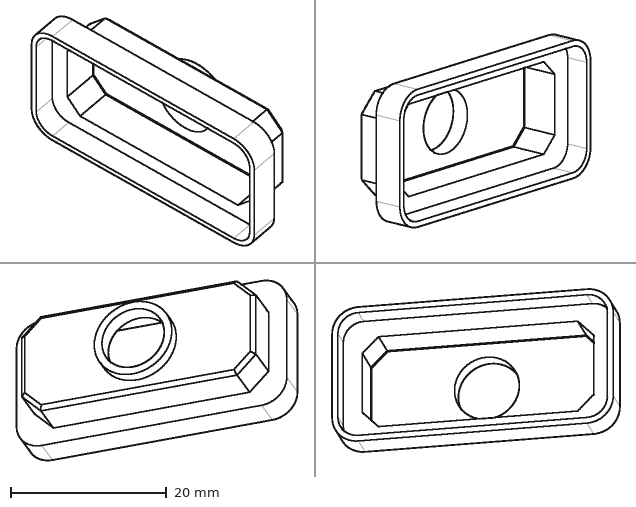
import cadquery as cq
import math

length = 36.93
depth = 10.96
height = 18.41

wall = 0.78

rim_depth = 4.05
rim_radius = 3.45

housing_length = 31.96
housing_height = 13.90
housing_depth = 5.26
housing_corner = 2.58
housing_bevel = 0.56

boss_diameter = 10.6
bore_diameter = 8.5

bevel_loss = wall * (2 - math.sqrt(2))
housing_back = rim_depth + housing_depth


def slab(size_x, size_z, y_start, y_end):
    """Rectangular block centred on the Y axis between two Y positions."""
    return (
        cq.Workplane("XZ", origin=(0, y_start, 0))
        .rect(size_x, size_z)
        .extrude(y_start - y_end)
    )


def rounded_block(inset, y_start, y_end):
    """Rim shape, moved inward by the inset."""
    block = slab(length - 2 * inset, height - 2 * inset, y_start, y_end)
    return block.edges("|Y").fillet(rim_radius - inset)


def octagonal_block(inset, corner, bevel, y_start, y_end):
    """Housing shape moved inward by the inset, with its back edges bevelled."""
    block = slab(housing_length - 2 * inset, housing_height - 2 * inset, y_start, y_end)
    return block.edges("|Y").chamfer(corner).faces(">Y").edges().chamfer(bevel)


def cylinder(diameter, y_start, y_end):
    """Round bar along the Y axis between two Y positions."""
    return cq.Workplane("XZ", origin=(0, y_start, 0)).circle(diameter / 2).extrude(y_start - y_end)


rim = rounded_block(0, 0, rim_depth)
housing = octagonal_block(0, housing_corner, housing_bevel, 0, housing_back)
boss = cylinder(boss_diameter, housing_back - wall, depth)

rim_cavity = rounded_block(wall, 0, rim_depth - wall)
housing_cavity = octagonal_block(
    wall, housing_corner - bevel_loss, housing_bevel - bevel_loss, 0, housing_back - wall
)
bore = cylinder(bore_diameter, 0, depth)

result = rim.union(housing).union(boss).cut(rim_cavity).cut(housing_cavity).cut(bore)